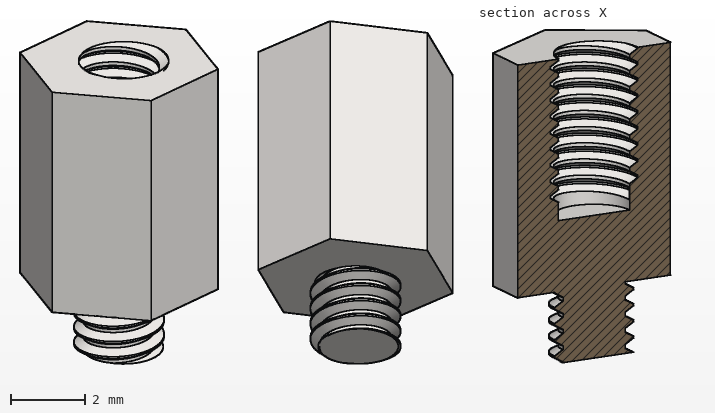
import cadquery as cq
import math

total_height = 8.5
across_flats = 4.7
stud_length = 2.0
across_corners = across_flats / math.cos(math.radians(30))
body_height = total_height - stud_length

pitch = 0.45
narrow_flat = pitch / 8
flank_angle = 30.0
root_overlap = 0.025

stud_minor_diameter = 1.92
stud_major_diameter = 2.43
stud_crest_height = 0.7 * pitch

hole_minor_diameter = 2.18
hole_major_diameter = 2.68
hole_turns = 10
hole_depth = hole_turns * pitch


def thread_coil(minor_diameter, major_diameter, height):
    """Helical trapezoid, centred on the XY plane where it starts at +X."""
    inner = minor_diameter / 2 - root_overlap
    outer = major_diameter / 2
    half_tip = narrow_flat / 2
    half_base = half_tip + (outer - inner) * math.tan(math.radians(flank_angle))
    profile = [
        (inner, -half_base),
        (outer, -half_tip),
        (outer, half_tip),
        (inner, half_base),
    ]
    helix = cq.Wire.makeHelix(pitch, height, inner)
    return cq.Workplane("XZ").polyline(profile).close().sweep(helix, isFrenet=True)


def make_body():
    body = cq.Workplane("XY").workplane(offset=stud_length)
    return body.polygon(6, across_corners).extrude(body_height)


def make_stud():
    """Threaded stud with the coil cut off square at both ends."""
    core = cq.Workplane("XY").circle(stud_minor_diameter / 2).extrude(stud_length)
    coil_start = stud_crest_height - 2 * pitch
    coil_height = stud_length + pitch - coil_start
    coil = thread_coil(stud_minor_diameter, stud_major_diameter, coil_height)
    coil = coil.translate((0, 0, coil_start))
    envelope = cq.Workplane("XY").circle(stud_major_diameter).extrude(stud_length)
    return core.union(coil.intersect(envelope))


def make_threaded_hole():
    """Blind bore and its helical groove, which leaves through the top face on the +Y side."""
    floor = total_height - hole_depth
    bore = cq.Workplane("XY").workplane(offset=floor)
    bore = bore.circle(hole_minor_diameter / 2).extrude(hole_depth)
    coil = thread_coil(hole_minor_diameter, hole_major_diameter, hole_depth)
    coil = coil.rotate((0, 0, 0), (0, 0, 1), 90).translate((0, 0, floor + pitch))
    return bore, coil


bore, groove = make_threaded_hole()
result = make_body().cut(bore).cut(groove).union(make_stud())